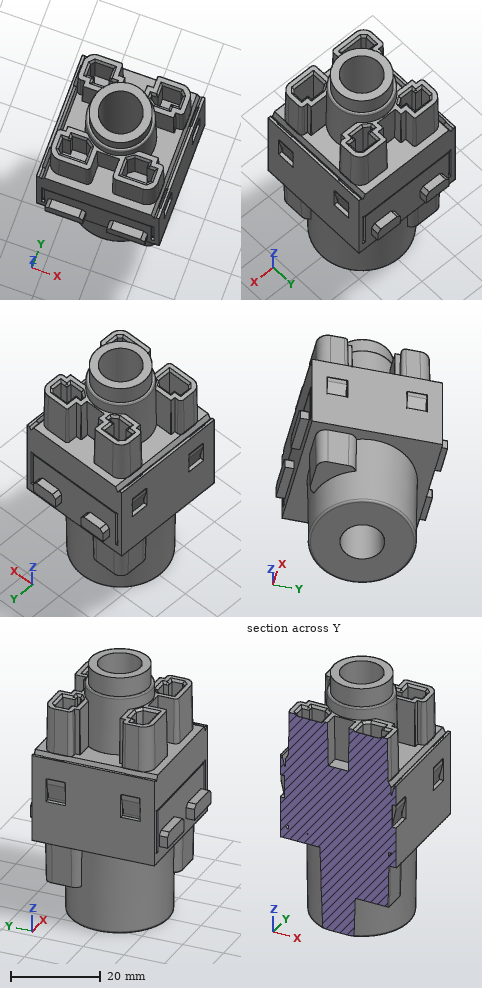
import cadquery as cq
import math

total_height = 62.2
shoulder_z = 57.5
tower_top_z = 54.5
block_top_z = 43.2
block_bottom_z = 21.1
lower_tower_bottom_z = 10.2

block_width = 29.3
block_depth = 30.1
overall_depth = 34.2
plate_top_z = 42.6
plate_thickness = 1.25
plate_flat_width = 0.7
joint_z = 41.9
insert_chamfer_width = 0.7

half_width = block_width / 2
half_depth = block_depth / 2
joint_x = half_width - plate_thickness

bore_diameter = 10.0
neck_diameter = 14.1
collar_diameter = 15.6
collar_edge_radius = 0.25
plug_top_diameter = 24.75
plug_bottom_diameter = 24.25
plug_edge_radius = 0.5

draft_angle = 1.1
tower_x_in = 2.7
tower_x_out = 12.7
tower_y_in = 5.0
tower_y_out = 13.0
corner_step_x = 10.8
corner_step_y = 6.2
notch_x = 4.15
notch_y = 10.1
tower_outer_radius = 2.7
tower_small_radius = 0.9
back_tower_inner_radius = 0.45
wall = 1.1
pocket_x_in = 3.8
pocket_chamfer_x = 1.8
pocket_chamfer_y = 1.3
pocket_outer_chamfer = 1.1
pocket_lead_in = 0.55
lead_in_angle = 45
pocket_depth = tower_top_z - block_top_z
web_y = 8.2

lower_x_in = 2.85
lower_y_in = 4.0
lower_y_out = 13.1
lower_radius = 2.2

bar_top_z = 28.35
bar_bottom_z = 24.7
bar_chamfer = 0.95
bar_spacing = 14.75
front_bar_length = 9.0
back_bar_length = 6.85
bar_projection = (overall_depth - block_depth) / 2

groove_top_z = 34.4
groove_bottom_z = 23.7
panel_top_z = 34.1
panel_half_width = 12.7
groove_depth = 0.6
drain_top_z = 24.6

window_width = 4.8
window_y = 9.2
window_top_z = 37.45
ramp_top_z = 36.15
ramp_bottom_z = 32.2
window_bottom_z = 31.65
window_shallow = 0.1
window_deep = 1.0
window_side_gap = 0.2
window_corner_radius = 0.3
lead_notch_width = 4.85
lead_notch_y = 10.15
lead_notch_x = 14.1
lead_notch_bottom_z = 39.8


def rounded_outline(corners, z):
    """Closed wire through (x, y, radius) corners, each rounded by a tangent arc."""
    edges = []
    count = len(corners)
    arcs = []
    for i, (x, y, radius) in enumerate(corners):
        corner = cq.Vector(x, y, z)
        before = cq.Vector(*corners[i - 1][:2], z)
        after = cq.Vector(*corners[(i + 1) % count][:2], z)
        to_before = (before - corner).normalized()
        to_after = (after - corner).normalized()
        half_angle = to_before.getAngle(to_after) / 2
        setback = radius / math.tan(half_angle)
        middle_distance = radius / math.sin(half_angle) - radius
        middle = corner + (to_before + to_after).normalized() * middle_distance
        arcs.append((corner + to_before * setback, middle, corner + to_after * setback))
    for i, (start, middle, end) in enumerate(arcs):
        if corners[i][2] > 0:
            edges.append(cq.Edge.makeThreePointArc(start, middle, end))
        edges.append(cq.Edge.makeLine(end, arcs[(i + 1) % count][0]))
    return cq.Wire.assembleEdges(edges)


def prism(corners, z, height, taper=0.0):
    """Solid raised from a rounded outline; a negative height goes down."""
    wire = rounded_outline(corners, z)
    return cq.Workplane("XY", origin=(0, 0, z)).add(wire).toPending().extrude(height, taper=taper)


def mirrored_x(shape):
    return shape.union(shape.mirror("YZ"))


def make_block():
    """Box whose top carries a V joint between the insert and each side plate."""
    right_side = [
        (half_width, block_bottom_z),
        (half_width, plate_top_z),
        (half_width - plate_flat_width, plate_top_z),
        (joint_x, joint_z),
        (joint_x - insert_chamfer_width, block_top_z),
    ]
    left_side = [(-x, z) for x, z in reversed(right_side)]
    return cq.Workplane("XZ").polyline(right_side + left_side).close().extrude(half_depth, both=True)


def make_tower(is_back):
    """Upper tower; back towers have a notch in their inner corner."""
    corners = [
        (tower_x_out, tower_y_out, tower_outer_radius),
        (tower_x_out, corner_step_y, tower_small_radius),
        (corner_step_x, corner_step_y, 0),
        (corner_step_x, tower_y_in, 0),
        (tower_x_in, tower_y_in, 0),
    ]
    if is_back:
        corners += [
            (tower_x_in, notch_y, 0),
            (notch_x, notch_y, 0),
            (notch_x, tower_y_out, back_tower_inner_radius),
        ]
    else:
        corners += [(tower_x_in, tower_y_out, tower_small_radius)]
    return prism(corners, tower_top_z, block_top_z - tower_top_z, -draft_angle)


def make_pocket(is_back):
    """Contact pocket with a sloped lead-in below the tower's rim."""
    x_out = tower_x_out - wall
    y_out = tower_y_out - wall
    x_step = corner_step_x - wall
    y_step = corner_step_y + wall
    y_in = tower_y_in + wall
    corners = [
        (x_out, y_out - pocket_outer_chamfer, 0),
        (x_out, y_step, 0),
        (x_step, y_step, 0),
        (x_step, y_in, 0),
        (pocket_x_in + pocket_chamfer_x, y_in, 0),
        (pocket_x_in, y_in + pocket_chamfer_y, 0),
    ]
    if is_back:
        corners += [
            (pocket_x_in, notch_y - wall, 0),
            (notch_x + wall, notch_y - wall, 0),
            (notch_x + wall, y_out, 0),
        ]
    else:
        corners += [(pocket_x_in, y_out, 0)]
    corners += [(x_out - pocket_outer_chamfer, y_out, 0)]
    lead_in = prism(corners, tower_top_z, -pocket_lead_in, lead_in_angle)
    inner_wire = rounded_outline(corners, tower_top_z).offset2D(-pocket_lead_in, "intersection")[0]
    shaft = cq.Workplane("XY", origin=(0, 0, tower_top_z)).add(inner_wire).toPending().extrude(-pocket_depth)
    return lead_in.union(shaft)


def make_lower_tower():
    """Lower tower in the +X +Y quadrant, narrowing downwards."""
    corners = [
        (lower_x_in, lower_y_in, lower_radius),
        (tower_x_out, lower_y_in, lower_radius),
        (tower_x_out, lower_y_out, lower_radius),
        (lower_x_in, lower_y_out, lower_radius),
    ]
    return prism(corners, lower_tower_bottom_z, block_bottom_z - lower_tower_bottom_z, -draft_angle)


def make_tube():
    """Straight neck on a drafted collar above the block."""
    collar = (
        cq.Workplane("XY", origin=(0, 0, shoulder_z))
        .circle(collar_diameter / 2)
        .extrude(block_top_z - shoulder_z, taper=-draft_angle)
        .faces(">Z")
        .edges()
        .fillet(collar_edge_radius)
    )
    neck = (
        cq.Workplane("XY", origin=(0, 0, block_top_z))
        .circle(neck_diameter / 2)
        .extrude(total_height - block_top_z)
    )
    return collar.union(neck)


def make_plug():
    """Slightly conical round plug below the block."""
    return (
        cq.Workplane("XY")
        .circle(plug_bottom_diameter / 2)
        .workplane(offset=block_bottom_z)
        .circle(plug_top_diameter / 2)
        .loft()
        .faces("<Z")
        .edges()
        .fillet(plug_edge_radius)
    )


def make_bar(length):
    """Latch bar on the back face, centred on X, with its upper ends chamfered."""
    height = bar_top_z - bar_bottom_z
    return (
        cq.Workplane("XY")
        .box(length, bar_projection, height, centered=(True, False, False))
        .edges("|Y and >Z")
        .chamfer(bar_chamfer)
        .translate((0, half_depth, bar_bottom_z))
    )


def make_groove():
    """Groove around three sides of the back panel."""
    height = groove_top_z - groove_bottom_z
    panel_height = panel_top_z - groove_bottom_z
    frame = cq.Workplane("XY").box(2 * joint_x, groove_depth, height, centered=(True, False, False))
    panel = cq.Workplane("XY").box(
        2 * panel_half_width, groove_depth, panel_height, centered=(True, False, False)
    )
    return frame.cut(panel).translate((0, half_depth - groove_depth, groove_bottom_z))


def make_drain():
    """Triangular passage along Y that joins the feet of the front and back grooves."""
    outline = [
        (panel_half_width, groove_bottom_z),
        (panel_half_width, drain_top_z),
        (joint_x, drain_top_z),
    ]
    return cq.Workplane("XZ").polyline(outline).close().extrude(half_depth, both=True)


def make_window():
    """Recess in the +X plate, rounded at its top, around a tooth that slopes inwards going down."""
    height = window_top_z - window_bottom_z
    opening = (
        cq.Workplane("XY", origin=(half_width - window_deep, 0, window_bottom_z))
        .box(window_deep, window_width, height, centered=(False, True, False))
        .edges("|X and >Z")
        .fillet(window_corner_radius)
    )
    profile = [
        (half_width - window_deep, window_top_z),
        (half_width - window_shallow, window_top_z),
        (half_width - window_shallow, ramp_top_z),
        (half_width - window_deep, ramp_bottom_z),
    ]
    tooth_half_width = window_width / 2 - window_side_gap
    tooth = cq.Workplane("XZ").polyline(profile).close().extrude(tooth_half_width, both=True)
    return opening.cut(tooth)


def make_lead_notch():
    """Steep lead-in cut into the inner slope of the +X plate."""
    profile = [
        (lead_notch_x, plate_top_z),
        (joint_x, plate_top_z),
        (joint_x, lead_notch_bottom_z),
    ]
    return cq.Workplane("XZ").polyline(profile).close().extrude(lead_notch_width / 2, both=True)


result = make_block().union(make_tube()).union(make_plug())

web_height = tower_top_z - block_top_z
web = cq.Workplane("XY").box(2 * tower_x_in, 2 * web_y, web_height, centered=(True, True, False))
result = result.union(web.translate((0, 0, block_top_z)))
result = result.union(mirrored_x(make_tower(True)))
result = result.union(mirrored_x(make_tower(False)).mirror("XZ"))
result = result.cut(mirrored_x(make_pocket(True)))
result = result.cut(mirrored_x(make_pocket(False)).mirror("XZ"))

lower_tower = make_lower_tower()
result = result.union(lower_tower.mirror("YZ")).union(lower_tower.mirror("XZ"))

for side in (-1, 1):
    offset = (side * bar_spacing / 2, 0, 0)
    result = result.union(make_bar(back_bar_length).translate(offset))
    result = result.union(make_bar(front_bar_length).mirror("XZ").translate(offset))

groove = make_groove()
result = result.cut(groove).cut(groove.mirror("XZ"))
result = result.cut(mirrored_x(make_drain()))

for side in (-1, 1):
    window = make_window().translate((0, side * window_y, 0))
    lead_notch = make_lead_notch().translate((0, side * lead_notch_y, 0))
    result = result.cut(mirrored_x(window)).cut(mirrored_x(lead_notch))

result = result.cut(cq.Workplane("XY").circle(bore_diameter / 2).extrude(total_height))